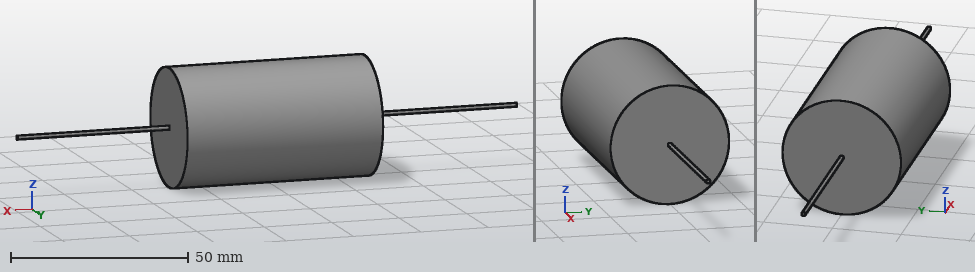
import cadquery as cq

can_diameter = 34.5
can_length = 58.0
wire_diameter = 1.2
overall_length = 148.0


def cylinder_along_x(diameter, length):
    """Cylinder on the X axis, centred on the origin."""
    return cq.Workplane("YZ", origin=(-length / 2, 0, 0)).circle(diameter / 2).extrude(length)


wire = cylinder_along_x(wire_diameter, overall_length)

can = cylinder_along_x(can_diameter, can_length).cut(wire)

result = cq.Compound.makeCompound([can.val(), wire.val()])